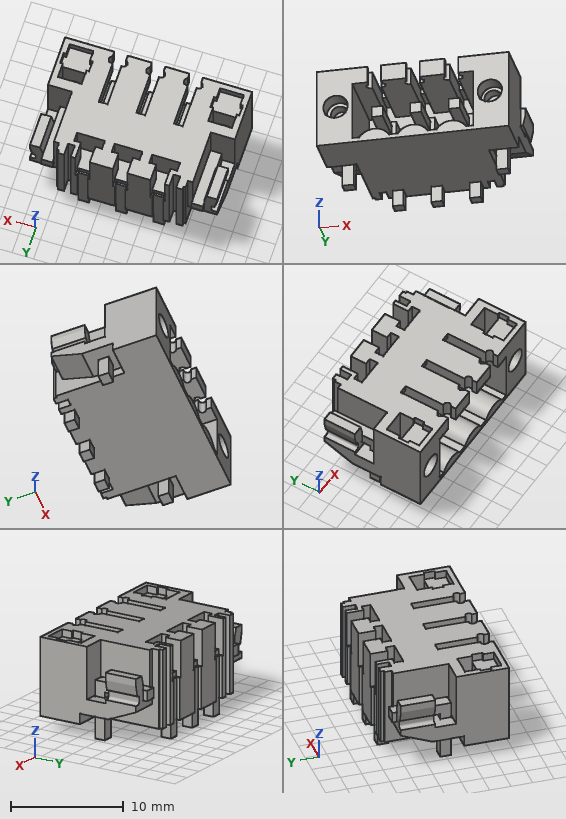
import cadquery as cq
import math


length = 17.45
depth = 11.05
height = 7.43
leg_below = 1.52
pitch = 3.5
contact_xs = [-pitch, 0, pitch]
sides = [-1, 1]

pin_size = 1.0
pin_z = 3.49
pin_tip_y = 1.22
pin_rear_y = 10.75
pin_top_z = pin_z + pin_size / 2
pin_bottom_z = pin_z - pin_size / 2

anchor_x = 2 * pitch
anchor_width = 1.06
anchor_front_y = 5.05
anchor_rear_y = 10.5
anchor_inner_x = anchor_x - anchor_width / 2
anchor_outer_x = anchor_x + anchor_width / 2

ear_rear_y = 4.92
cheek_rear_y = 10.09
step_x = 6.02
step_rear_y = pin_rear_y
back_x = 5.83

arm_bottom_z = 1.01
arm_bottom_front_y = 4.17
arm_bottom_rear_y = 7.14
arm_tip_z = 2.23
shelf_z = 2.48
hook_front_y = 6.88
hook_base_z = 2.81
hook_top_z = 5.35
hook_lip_z = 4.66
hook_lip_inner_x = 8.5
hook_overhang_z = 3.65
hook_waist_x = 8.2
hook_waist_low_fillet = 0.25
hook_waist_high_fillet = 0.21
hook_back_top_x = 7.78
hook_back_bend_z = 4.47

cavity_width = 11.0
cavity_depth = 7.0
cavity_floor_z = 0.4
cavity_roof_z = 5.86
rib_width = 2.7
rib_height = 0.72
rib_radius = ((rib_width / 2) ** 2 + rib_height**2) / (2 * rib_height)
collar_size = 1.76
collar_front_y = 5.05

coding_xs = [-pitch / 2, pitch / 2]
coding_width = 1.41
coding_bottom_z = 1.1
coding_rise = 0.42
coding_top_z = 1.99
coding_depth = 0.42

slot_width = 0.82
slot_rear_y = 5.11
slot_groove_top_z = 6.91
key_y = 0.82
key_length = 1.73
key_radius = 0.33
key_neck_width = 1.25

screw_z = 3.73
screw_diameter = 2.22
screw_depth = 1.47
screw_core_x = 6.98
screw_core_diameter = 1.55
nut_pocket_width = 2.22
nut_pocket_front_y = 0.52
nut_pocket_rear_y = 3.93
nut_deep_front_y = 2.53
nut_deep_floor_z = 2.62
nut_floor_z = 6.74
nut_wing_width = 2.7
nut_wing_front_y = 1.52

tee_stem_width = 1.35
tee_head_width = 2.6
tee_head_front_y = 8.62
tee_head_rear_y = 9.44
tee_floor_z = pin_top_z + pin_size / 2
tee_ledge_y = 10.55
notch_x = 4.92
notch_width = 0.63
notch_front_y = 9.9


def block(x_range, y_range, z_range):
    """Box spanning the given (low, high) ranges."""
    size = [high - low for low, high in (x_range, y_range, z_range)]
    corner = (x_range[0], y_range[0], z_range[0])
    return cq.Workplane("XY").box(*size, centered=False).translate(corner)


def centred_block(x, width, y_range, z_range):
    """Box of the given width, centred on x."""
    return block((x - width / 2, x + width / 2), y_range, z_range)


def both_sides(left_shape):
    """A shape on the -X side together with its mirror image on the +X side."""
    return left_shape.union(left_shape.mirror("YZ"))


def along_y(y):
    """Workplane at the given y with local axes X and Z, extruding toward +Y for negative distances."""
    return cq.Workplane("XZ", origin=(0, y, 0))


def contact_pin(x):
    """Angled pin: a square blade along Y with a solder leg at its rear."""
    blade = centred_block(x, pin_size, (pin_tip_y, pin_rear_y), (pin_bottom_z, pin_top_z))
    leg = centred_block(x, pin_size, (pin_rear_y - pin_size, pin_rear_y), (-leg_below, pin_top_z))
    return blade.union(leg)


def solder_anchor(side):
    """Angled bar lying beside the housing with a solder leg at its front."""
    x = side * anchor_x
    bar = centred_block(x, anchor_width, (anchor_front_y, anchor_rear_y), (pin_bottom_z, pin_top_z))
    leg = centred_block(x, anchor_width, (anchor_front_y, anchor_front_y + pin_size), (-leg_below, pin_top_z))
    return bar.union(leg)


def side_arm():
    """Left ear, cheek and arm in one side outline, cut back to the cheek above the shelf."""
    outline = [
        (0, 0),
        (arm_bottom_front_y, 0),
        (arm_bottom_front_y, arm_bottom_z),
        (arm_bottom_rear_y, arm_bottom_z),
        (cheek_rear_y, arm_tip_z),
        (cheek_rear_y, height),
        (0, height),
    ]
    outer_plane = cq.Workplane("YZ", origin=(-length / 2, 0, 0))
    plate = outer_plane.polyline(outline).close().extrude(length / 2 - step_x)
    above_shelf = block((-length / 2, -anchor_inner_x), (ear_rear_y, cheek_rear_y), (shelf_z, height))
    return plate.cut(above_shelf).union(hook())


def hook():
    """Left hook: a waisted post on the arm, with a foot under the anchor bar."""
    low_end = hook_base_z + hook_waist_low_fillet
    high_end = hook_overhang_z - hook_waist_high_fillet
    low_centre_x = hook_waist_x + hook_waist_low_fillet
    high_centre_x = hook_waist_x + hook_waist_high_fillet
    diagonal = math.sqrt(0.5)
    low_mid = (low_centre_x - diagonal * hook_waist_low_fillet, low_end - diagonal * hook_waist_low_fillet)
    high_mid = (high_centre_x - diagonal * hook_waist_high_fillet, high_end + diagonal * hook_waist_high_fillet)
    profile = (
        along_y(hook_front_y)
        .moveTo(anchor_inner_x, shelf_z)
        .lineTo(length / 2, shelf_z)
        .lineTo(length / 2, hook_base_z)
        .lineTo(low_centre_x, hook_base_z)
        .threePointArc(low_mid, (hook_waist_x, low_end))
        .lineTo(hook_waist_x, high_end)
        .threePointArc(high_mid, (high_centre_x, hook_overhang_z))
        .lineTo(hook_lip_inner_x, hook_overhang_z)
        .lineTo(length / 2, hook_lip_z)
        .lineTo(length / 2, hook_top_z)
        .lineTo(hook_back_top_x, hook_top_z)
        .lineTo(anchor_outer_x, hook_back_bend_z)
        .lineTo(anchor_outer_x, pin_bottom_z)
        .lineTo(anchor_inner_x, pin_bottom_z)
        .close()
    )
    return profile.extrude(hook_front_y - cheek_rear_y).mirror("YZ")


def housing_body():
    """Outer form of the housing, before any openings."""
    core = centred_block(0, 2 * step_x, (0, step_rear_y), (0, height))
    back = centred_block(0, 2 * back_x, (0, depth), (0, height))
    return core.union(back).union(both_sides(side_arm()))


def cavity():
    """Mating cavity with a round rib and a collar left standing at each contact."""
    space = centred_block(0, cavity_width, (0, cavity_depth), (cavity_floor_z, cavity_roof_z))
    rib_centre_z = cavity_floor_z + rib_height - rib_radius
    for x in contact_xs:
        rib = along_y(0).center(x, rib_centre_z).circle(rib_radius).extrude(-cavity_depth)
        space = space.cut(rib)
        space = space.cut(contact_collar(x))
    return space


def contact_collar(x):
    """Square collar around a blade, standing out from the rear wall of the cavity."""
    z_range = (pin_z - collar_size / 2, pin_z + collar_size / 2)
    return centred_block(x, collar_size, (collar_front_y, cavity_depth), z_range)


def coding_pocket(x):
    """Pocket in the rear wall of the cavity with a floor rising toward its back."""
    back_y = cavity_depth + coding_depth
    outline = [
        (cavity_depth, coding_bottom_z),
        (back_y, coding_bottom_z + coding_rise),
        (back_y, coding_top_z),
        (cavity_depth, coding_top_z),
    ]
    sketch = cq.Workplane("YZ", origin=(x - coding_width / 2, 0, 0)).polyline(outline).close()
    return sketch.extrude(coding_width)


def roof_slot(x):
    """Slot through the cavity roof, with a rounded key opening and a neck at the mating face.

    Under the top face it carries on as a groove to the rear wall of the cavity.
    """
    roof = (cavity_roof_z, height)
    slot = centred_block(x, slot_width, (key_y, slot_rear_y), roof)
    groove = centred_block(x, slot_width, (slot_rear_y, cavity_depth), (cavity_roof_z, slot_groove_top_z))
    neck = centred_block(x, key_neck_width, (0, key_y), roof)
    key_plane = cq.Workplane("XY", origin=(x, key_y, cavity_roof_z))
    key = key_plane.slot2D(key_length, 2 * key_radius).extrude(height - cavity_roof_z)
    return slot.union(groove).union(neck).union(key)


def screw_hole(side):
    """Counterbored screw hole in the ear, its narrower core opening into the nut pocket."""
    core_centre = along_y(0).center(side * screw_core_x, screw_z)
    core = core_centre.circle(screw_core_diameter / 2).extrude(-nut_deep_front_y)
    mouth_centre = along_y(0).center(side * anchor_x, screw_z)
    mouth = mouth_centre.circle(screw_diameter / 2).extrude(-screw_depth)
    return core.union(mouth)


def nut_pocket(side):
    """Pocket in the top of the ear: deep at the rear, shallow and winged at the front."""
    x = side * anchor_x
    deep_z = (nut_deep_floor_z, height)
    shallow_z = (nut_floor_z, height)
    deep = centred_block(x, nut_pocket_width, (nut_deep_front_y, nut_pocket_rear_y), deep_z)
    shallow = centred_block(x, nut_pocket_width, (nut_pocket_front_y, nut_deep_front_y), shallow_z)
    wings = centred_block(x, nut_wing_width, (nut_wing_front_y, nut_deep_front_y), shallow_z)
    return deep.union(shallow).union(wings)


def rear_tee_slot(x):
    """T-shaped slot open to the rear, stepping down to the channel of the contact leg."""
    head = centred_block(x, tee_head_width, (tee_head_front_y, tee_head_rear_y), (tee_floor_z, height))
    stem = centred_block(x, tee_stem_width, (tee_head_rear_y, depth), (tee_floor_z, height))
    drop = centred_block(x, tee_stem_width, (tee_ledge_y, depth), (pin_top_z, height))
    channel = centred_block(x, pin_size, (pin_rear_y - pin_size, depth), (0, pin_top_z))
    return head.union(stem).union(drop).union(channel)


def rear_notch(side):
    """Notch through the full height of the rear edge."""
    return centred_block(side * notch_x, notch_width, (notch_front_y, depth), (0, height))


contact_pins = [contact_pin(x) for x in contact_xs]
solder_anchors = [solder_anchor(side) for side in sides]

housing = housing_body().cut(cavity())
for x in contact_xs:
    housing = housing.cut(roof_slot(x)).cut(rear_tee_slot(x))
for x in coding_xs:
    housing = housing.cut(coding_pocket(x))
for side in sides:
    housing = housing.cut(screw_hole(side)).cut(nut_pocket(side)).cut(rear_notch(side))
for metal_part in contact_pins + solder_anchors:
    housing = housing.cut(metal_part)

metal_solids = [metal_part.val() for metal_part in contact_pins + solder_anchors]
result = cq.Compound.makeCompound([housing.val(), *metal_solids])